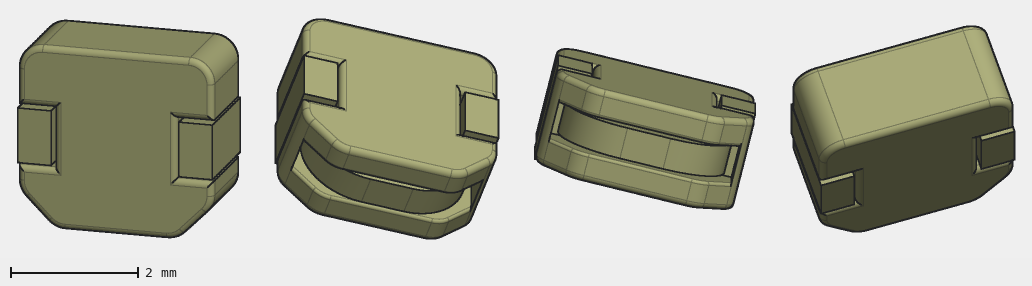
import cadquery as cq

BODY_LENGTH = 3.2
BODY_HEIGHT = 3.0
BODY_THICKNESS = 1.5
BOTTOM_CHAMFER = 0.6
CORNER_RADIUS = 0.4
FACE_FILLET = 0.1

NOTCH_DEPTH = 0.6
NOTCH_HEIGHT = 1.0

TERMINAL_CLEARANCE = 0.05
TERMINAL_LENGTH = NOTCH_DEPTH - TERMINAL_CLEARANCE
TERMINAL_HEIGHT = NOTCH_HEIGHT - 2 * TERMINAL_CLEARANCE
TERMINAL_THICKNESS = 1.54

STRAP_LENGTH = 2.7
STRAP_WIDTH = 0.5
STRAP_BEND_RADIUS = 1.0

SLOT_CLEARANCE = 0.05
SLOT_WIDTH = STRAP_WIDTH + 2 * SLOT_CLEARANCE
SLOT_END_WALL = 0.125
SLOT_LENGTH = BODY_LENGTH - 2 * SLOT_END_WALL
SLOT_MOUTH_FILLET = 0.05

HALF_LENGTH = BODY_LENGTH / 2


def side_notch(side):
    """Rectangular notch through the thickness at one end (side = -1 or 1)."""
    center_x = side * (HALF_LENGTH - NOTCH_DEPTH / 2)
    return cq.Workplane("XY").box(NOTCH_DEPTH, BODY_THICKNESS, NOTCH_HEIGHT).translate((center_x, 0, 0))


def make_solid_body():
    """Rounded body with notches and filleted faces, before the slot is made."""
    body = cq.Workplane("XY").box(BODY_LENGTH, BODY_THICKNESS, BODY_HEIGHT)
    body = body.faces("<Z").edges("|Y").chamfer(BOTTOM_CHAMFER)
    body = body.edges("|Y").fillet(CORNER_RADIUS)
    for side in (-1, 1):
        body = body.cut(side_notch(side))
    return body.faces("<Y or >Y").edges().fillet(FACE_FILLET)


def make_body():
    """Body with a rounded-mouth slot from mid-height down, closed at both ends by thin walls."""
    solid_body = make_solid_body()
    depth = BODY_HEIGHT / 2
    slot = cq.Workplane("XY").box(BODY_LENGTH, SLOT_WIDTH, depth).translate((0, 0, -depth / 2))
    slotted_body = solid_body.cut(slot)

    mouth_edges = slotted_body.faces("<Z").edges("|X").edges(cq.selectors.BoxSelector(
        (-HALF_LENGTH, -SLOT_WIDTH, -BODY_HEIGHT),
        (HALF_LENGTH, SLOT_WIDTH, 0),
    ))
    slotted_body = mouth_edges.fillet(SLOT_MOUTH_FILLET)

    slot_span = cq.Workplane("XY").box(SLOT_LENGTH, 2 * BODY_THICKNESS, 2 * BODY_HEIGHT)
    return slotted_body.union(solid_body.cut(slot_span))


def make_strap():
    """Plate with large lower bends, attached to the top of the slot."""
    height = BODY_HEIGHT / 2
    strap = cq.Workplane("XY").box(STRAP_LENGTH, STRAP_WIDTH, height).translate((0, 0, -height / 2))
    return strap.faces("<Z").edges("|Y").fillet(STRAP_BEND_RADIUS)


def make_terminal(side):
    """Terminal block flush with one end of the body (side = -1 or 1)."""
    center_x = side * (HALF_LENGTH - TERMINAL_LENGTH / 2)
    terminal = cq.Workplane("XY").box(TERMINAL_LENGTH, TERMINAL_THICKNESS, TERMINAL_HEIGHT)
    return terminal.translate((center_x, 0, 0))


result = make_body().union(make_strap())
for end in (-1, 1):
    result = result.union(make_terminal(end))